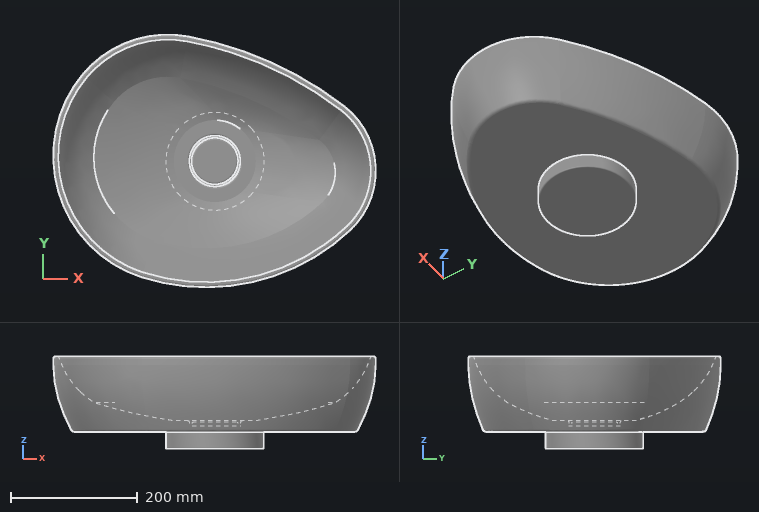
import cadquery as cq
import math


total_height = 146.5
foot_height = 26.5
bowl_depth = total_height - foot_height
band_depth = 14.5
floor_edge_depth = 73.0
drain_land_depth = 101.5

nose_center = (125.5, -15.5)
nose_radius = 129.0
rear_center = (-54.0, 8.0)
rear_radius = 201.5
shoulder_radius = 175.0
shoulder_angle = math.radians(140.2)
back_flank_radius = 574.0
front_flank_radius = 332.5

base_inset = 12.0
base_roundness = 0.1
outer_wall_sections = 5
base_fillet = 6.5
rim_width = 8.0
rim_fillet = 4.0
floor_edge_inset = 64.5
floor_shift = -2.5
inner_wall_tilt = math.radians(17)
inner_wall_sections = 6
floor_sag = 0.1

foot_radius = 77.5
foot_fillet = 2.0
drain_land_radius = 65.0
drain_radius = 40.5
drain_lip_fillet = 3.5
drain_depth = 8.0
recess_floor_depth = drain_land_depth + drain_depth
plug_radius = 36.5
plug_drop = 2.0
plug_fillet = 3.5


def point_from(center, radius, angle):
    return (center[0] + radius * math.cos(angle), center[1] + radius * math.sin(angle))


def direction(start, end):
    return math.atan2(end[1] - start[1], end[0] - start[0])


def flank_center(start, start_radius, end, end_radius, flank_radius):
    """Centre of the arc running counter-clockwise from the start circle to the end circle,
    tangent to both and enclosing them."""
    gap = math.dist(start, end)
    to_start = flank_radius - start_radius
    to_end = flank_radius - end_radius
    turn = math.acos((to_start**2 + gap**2 - to_end**2) / (2 * to_start * gap))
    return point_from(start, to_start, direction(start, end) + turn)


shoulder_center = point_from(rear_center, rear_radius - shoulder_radius, shoulder_angle)
back_center = flank_center(nose_center, nose_radius, shoulder_center, shoulder_radius, back_flank_radius)
front_center = flank_center(rear_center, rear_radius, nose_center, nose_radius, front_flank_radius)

egg_arcs = [
    (back_center, back_flank_radius),
    (shoulder_center, shoulder_radius),
    (rear_center, rear_radius),
    (front_center, front_flank_radius),
    (nose_center, nose_radius),
]
joint_angles = [
    direction(back_center, nose_center),
    direction(back_center, shoulder_center),
    shoulder_angle,
    direction(front_center, rear_center),
    direction(front_center, nose_center),
]


def egg_wire(inset, depth, roundness=0.0, shift=0.0):
    """Egg outline moved inwards by inset; roundness 1 turns it into the drain land circle.
    Shift moves the outline along Y."""
    z = -depth
    edges = []
    for i, (center, radius) in enumerate(egg_arcs):
        start = joint_angles[i]
        sweep = (joint_angles[(i + 1) % len(joint_angles)] - start) % (2 * math.pi)
        arc_center = (center[0] * (1 - roundness), center[1] * (1 - roundness) + shift)
        arc_radius = (radius - inset) * (1 - roundness) + drain_land_radius * roundness
        points = [point_from(arc_center, arc_radius, start + sweep * t) for t in (0, 0.5, 1)]
        edges.append(cq.Edge.makeThreePointArc(*[cq.Vector(x, y, z) for x, y in points]))
    return cq.Wire.assembleEdges(edges)


def loft(wires):
    return cq.Workplane(cq.Solid.makeLoft(wires))


def disc(radius, top_depth, bottom_depth):
    return cq.Workplane("XY").workplane(offset=-bottom_depth).circle(radius).extrude(bottom_depth - top_depth)


def outer_body():
    """Upright rim band, a wall curving inwards to the flat base, and the round foot."""
    band = loft([egg_wire(0, band_depth), egg_wire(0, 0)]).faces(">Z").edges().fillet(rim_fillet)

    wall_height = bowl_depth - band_depth
    sections = []
    for i in range(outer_wall_sections):
        share = i / (outer_wall_sections - 1)
        curve = share**2
        depth = band_depth + wall_height * share
        sections.append(egg_wire(base_inset * curve, depth, base_roundness * curve))
    wall = loft(sections).faces("<Z").edges().fillet(base_fillet)

    foot = disc(foot_radius, recess_floor_depth, total_height)
    foot = foot.faces("<Z").edges().fillet(foot_fillet)
    return band.union(wall).union(foot)


def inner_wall_cavity():
    """The wall follows one arc from the leaning rim edge to the floor edge."""
    run = floor_edge_inset - rim_width
    chord_tilt = math.atan2(run, floor_edge_depth)
    arc_sweep = 2 * (chord_tilt - inner_wall_tilt)
    arc_radius = math.hypot(run, floor_edge_depth) / (2 * math.sin(arc_sweep / 2))
    sections = []
    for i in range(inner_wall_sections):
        tilt = inner_wall_tilt + arc_sweep * i / (inner_wall_sections - 1)
        depth = arc_radius * (math.sin(tilt) - math.sin(inner_wall_tilt))
        inset = rim_width + arc_radius * (math.cos(inner_wall_tilt) - math.cos(tilt))
        sections.append(egg_wire(inset, depth, shift=floor_shift * depth / floor_edge_depth))
    return loft(sections)


def floor_cavity():
    """Dished floor falling from the egg-shaped floor edge to the round drain land."""
    fall = drain_land_depth - floor_edge_depth
    halfway = 0.5
    middle_depth = floor_edge_depth + fall * (halfway + floor_sag)
    return loft([
        egg_wire(floor_edge_inset, floor_edge_depth, 0.0, floor_shift),
        egg_wire(floor_edge_inset, middle_depth, halfway, floor_shift * halfway),
        egg_wire(floor_edge_inset, drain_land_depth, 1.0),
    ])


def add_drain(basin):
    """Recess with a rounded lip, holding a fixed round plug."""
    basin = basin.cut(disc(drain_radius, drain_land_depth, recess_floor_depth))
    lip_edge = cq.selectors.NearestToPointSelector((0, 0, -drain_land_depth))
    basin = basin.edges(lip_edge).fillet(drain_lip_fillet)
    plug = disc(plug_radius, drain_land_depth + plug_drop, recess_floor_depth)
    plug = plug.faces(">Z").edges().fillet(plug_fillet)
    return basin.union(plug)


basin = outer_body().cut(inner_wall_cavity()).cut(floor_cavity())
result = add_drain(basin)